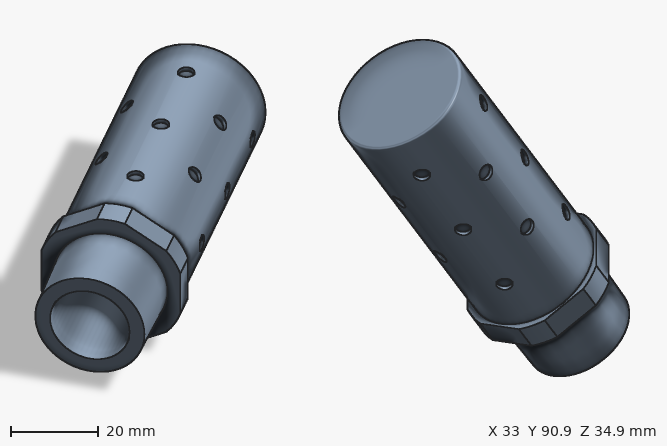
import cadquery as cq

total_length = 90.9
nipple_length = 17.4
collar_length = 6.4
collar_end = nipple_length + collar_length

body_radius = 15.8
end_fillet = 0.8
nipple_tip_radius = 13.0
nipple_base_radius = 13.5
bore_radius = 9.5
end_wall = 10.0
collar_across_flats = 33.0
collar_diameter = 34.9

hole_diameter = 3.8
hole_depth = 1.1
hole_pitch = 20.9
first_hole_from_end = 11.5
row_count = 8
row_angle = 360.0 / row_count
straight_row_holes = 3
staggered_row_holes = 2


def make_nipple():
    """Taper that narrows toward its open end at Y = 0."""
    profile = [
        (0, 0),
        (nipple_tip_radius, 0),
        (nipple_base_radius, nipple_length),
        (0, nipple_length),
    ]
    return cq.Workplane("XY").polyline(profile).close().revolve(360, (0, 0), (0, 1))


def make_collar():
    """Hexagon with flats facing +X and -X, its corners rounded by a circle."""
    plane = cq.Workplane("XZ", origin=(0, collar_end, 0))
    hexagon = plane.polygon(6, collar_across_flats, circumscribed=True).extrude(collar_length)
    disc = plane.circle(collar_diameter / 2).extrude(collar_length)
    return hexagon.intersect(disc)


def make_body():
    """Cylinder with a rounded rim at its closed end."""
    cylinder = cq.Workplane("XZ", origin=(0, total_length, 0)).circle(body_radius)
    return cylinder.extrude(total_length - collar_end).faces(">Y").edges().fillet(end_fillet)


def make_hole(y, angle):
    """Cutter for one flat-bottomed radial hole, turned about the Y axis."""
    floor_radius = body_radius - hole_depth
    cutter = cq.Workplane("XY", origin=(0, y, floor_radius)).circle(hole_diameter / 2)
    return cutter.extrude(2 * hole_depth).rotate((0, 0, 0), (0, 1, 0), angle)


result = make_body().union(make_collar()).union(make_nipple())

bore = cq.Workplane("XZ").circle(bore_radius).extrude(-(total_length - end_wall))
result = result.cut(bore)

for row in range(row_count):
    staggered = row % 2 == 1
    hole_count = staggered_row_holes if staggered else straight_row_holes
    row_shift = hole_pitch / 2 if staggered else 0
    first_y = total_length - first_hole_from_end - row_shift
    for index in range(hole_count):
        result = result.cut(make_hole(first_y - index * hole_pitch, row * row_angle))